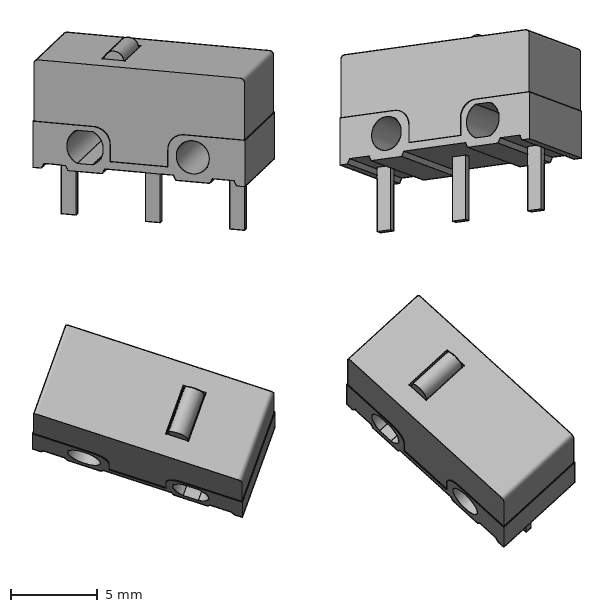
import cadquery as cq


length = 12.8
depth = 5.8
base_height = 2.79
housing_height = 6.5
cover_inset = 0.045
cover_fillet = 0.25

tongue_half_width = 1.74
tongue_bottom = 0.77
shoulder_radius = 1.0

hole_x = 3.25
hole_z = 1.48
hole_diameter = 2.0
oblong_diameter = 2.2

foot_height = 0.3
foot_slope = 0.15
middle_foot_half_width = 1.02
end_foot_width = 0.51

total_height = 10.5
pin_drop = 3.51
button_x = -1.96
button_radius = 0.6
button_length = 2.89
slot_width = 1.4
slot_length = 3.11
slot_depth = 0.51

pin_pitch = 5.08
pin_width = 0.9
pin_thickness = 0.4

button_top = total_height - pin_drop
slot_floor = housing_height - slot_depth


def front_sketch(y=-depth / 2):
    """Workplane in the XZ plane at the given Y; a negative extrusion from it runs toward +Y."""
    return cq.Workplane("XZ", origin=(0, y, 0))


def make_base():
    return cq.Workplane("XY").box(length, depth, base_height, centered=(True, True, False))


def make_cover():
    cover_length = length - 2 * cover_inset
    cover_depth = depth - 2 * cover_inset
    cover_height = housing_height - base_height
    return (
        cq.Workplane("XY")
        .workplane(offset=base_height)
        .box(cover_length, cover_depth, cover_height, centered=(True, True, False))
        .edges("|Y and >Z")
        .fillet(cover_fillet)
    )


def tongue_recess(face_y):
    """Thin cutter, from face_y toward +Y, that brings the base surface back level with the cover."""
    shoulder_x = tongue_half_width + shoulder_radius
    shoulder_z = base_height - shoulder_radius
    return (
        front_sketch(face_y)
        .moveTo(-tongue_half_width, tongue_bottom)
        .lineTo(tongue_half_width, tongue_bottom)
        .lineTo(tongue_half_width, shoulder_z)
        .radiusArc((shoulder_x, base_height), shoulder_radius)
        .lineTo(-shoulder_x, base_height)
        .radiusArc((-tongue_half_width, shoulder_z), shoulder_radius)
        .close()
        .extrude(-cover_inset)
    )


def round_hole():
    return front_sketch().center(hole_x, hole_z).circle(hole_diameter / 2).extrude(-depth)


def oblong_hole():
    """Round hole with a flat at its top and its bottom, level with the round hole."""
    hole = front_sketch().center(-hole_x, hole_z)
    flats = hole.rect(oblong_diameter, hole_diameter).extrude(-depth)
    return hole.circle(oblong_diameter / 2).extrude(-depth).intersect(flats)


def foot_gap(left, right):
    """Channel between two feet, with sloped sides; left and right are its limits at the bottom."""
    return (
        front_sketch()
        .moveTo(left, 0)
        .lineTo(left + foot_slope, foot_height)
        .lineTo(right - foot_slope, foot_height)
        .lineTo(right, 0)
        .close()
        .extrude(-depth)
    )


def button_slot():
    return (
        cq.Workplane("XY", origin=(button_x, 0, slot_floor))
        .box(slot_width, slot_length, slot_depth, centered=(True, True, False))
    )


def make_housing():
    housing = make_base().union(make_cover())
    for face_y in (-depth / 2, depth / 2 - cover_inset):
        housing = housing.cut(tongue_recess(face_y))
    housing = housing.cut(round_hole()).cut(oblong_hole())
    outer = length / 2 - end_foot_width
    foot_outer = hole_x + middle_foot_half_width
    foot_inner = hole_x - middle_foot_half_width
    for left, right in ((-outer, -foot_outer), (-foot_inner, foot_inner), (foot_outer, outer)):
        housing = housing.cut(foot_gap(left, right))
    return housing.cut(button_slot())


def make_button():
    """Bar with a half-round top, standing on the floor of the slot."""
    shoulder_z = button_top - button_radius
    return (
        front_sketch(-button_length / 2)
        .moveTo(button_x - button_radius, slot_floor)
        .lineTo(button_x - button_radius, shoulder_z)
        .threePointArc((button_x, button_top), (button_x + button_radius, shoulder_z))
        .lineTo(button_x + button_radius, slot_floor)
        .close()
        .extrude(-button_length)
    )


def make_pin(x):
    """Flat pin that hangs from the underside of the housing, between the feet."""
    return (
        cq.Workplane("XY", origin=(x, 0, -pin_drop))
        .box(pin_width, pin_thickness, pin_drop + foot_height, centered=(True, True, False))
    )


housing = make_housing()
button = make_button()
pins = [make_pin(x) for x in (-pin_pitch, 0, pin_pitch)]

result = cq.Compound.makeCompound([housing.val(), button.val(), *[pin.val() for pin in pins]])